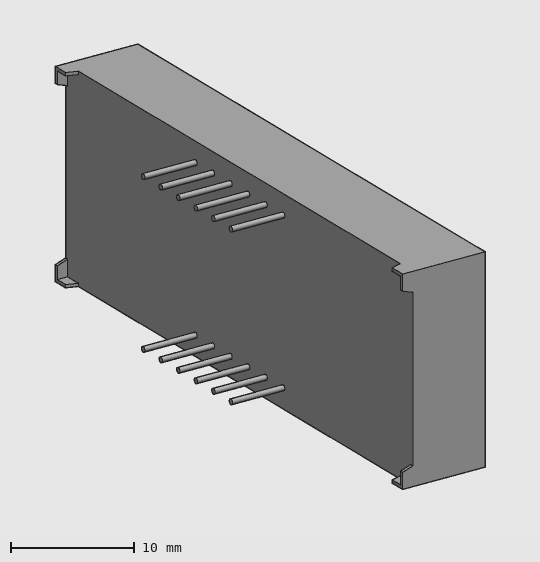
import cadquery as cq

LENGTH = 50.3
HEIGHT = 19.0
BODY_DEPTH = 7.05
FOOT_RISE = 1.0
TOTAL_DEPTH = 12.1

WALL = 0.3
FOOT_BASE = 1.85
FOOT_TIP = 1.5

PIN_ROWS = 2
PINS_PER_ROW = 6
ROW_SPACING = 15.25
PIN_PITCH = ROW_SPACING / 6
PIN_DIAMETER = 0.5

FACE_Y = -BODY_DEPTH
FOOT_Y = FACE_Y - FOOT_RISE
CORNER_X = LENGTH / 2
CORNER_Z = HEIGHT / 2


def make_body():
    """Plain block between the back face and the pin face."""
    return cq.Workplane("XY", origin=(0, FACE_Y / 2, 0)).box(LENGTH, BODY_DEPTH, HEIGHT)


def make_foot():
    """L-shaped foot at the -X, -Z corner of the pin face."""
    along_x = (
        cq.Workplane("XY", origin=(-CORNER_X, 0, -CORNER_Z))
        .polyline([(0, FACE_Y), (FOOT_BASE, FACE_Y), (FOOT_TIP, FOOT_Y), (0, FOOT_Y)])
        .close()
        .extrude(WALL)
    )
    along_z = (
        cq.Workplane("YZ", origin=(-CORNER_X, 0, -CORNER_Z))
        .polyline([(FACE_Y, 0), (FACE_Y, FOOT_BASE), (FOOT_Y, FOOT_TIP), (FOOT_Y, 0)])
        .close()
        .extrude(WALL)
    )
    return along_x.union(along_z)


def make_pins():
    """Round pins standing on the pin face."""
    return (
        cq.Workplane("XZ", origin=(0, FACE_Y, 0))
        .rarray(PIN_PITCH, ROW_SPACING, PINS_PER_ROW, PIN_ROWS)
        .circle(PIN_DIAMETER / 2)
        .extrude(TOTAL_DEPTH - BODY_DEPTH)
    )


foot = make_foot()
lower_feet = foot.union(foot.mirror("YZ"))
feet = lower_feet.union(lower_feet.mirror("XY"))

result = make_body().union(feet).union(make_pins())